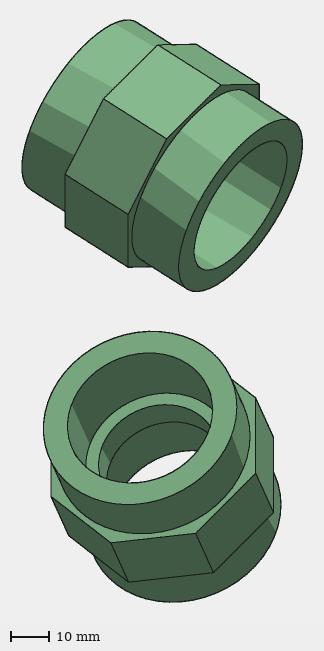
import cadquery as cq
import math

length = 52.6
body_diameter = 52.0
grip_across_flats = 55.0
grip_length = 21.2
socket_diameter = 38.95
socket_depth = 21.6
bore_diameter = 32.0

grip_sides = 8
half_side_angle = 180 / grip_sides
grip_across_corners = grip_across_flats / math.cos(math.radians(half_side_angle))


def cylinder_along_x(diameter, start, end):
    return cq.Workplane("YZ").workplane(offset=start).circle(diameter / 2).extrude(end - start)


body = cylinder_along_x(body_diameter, -length / 2, length / 2)

grip = (
    cq.Workplane("YZ")
    .workplane(offset=-grip_length / 2)
    .polygon(grip_sides, grip_across_corners)
    .extrude(grip_length)
    .rotate((0, 0, 0), (1, 0, 0), half_side_angle)
)

bore = cylinder_along_x(bore_diameter, -length / 2, length / 2)
socket_floor = length / 2 - socket_depth
left_socket = cylinder_along_x(socket_diameter, -length / 2, -socket_floor)
right_socket = cylinder_along_x(socket_diameter, socket_floor, length / 2)

result = body.union(grip).cut(bore).cut(left_socket).cut(right_socket)